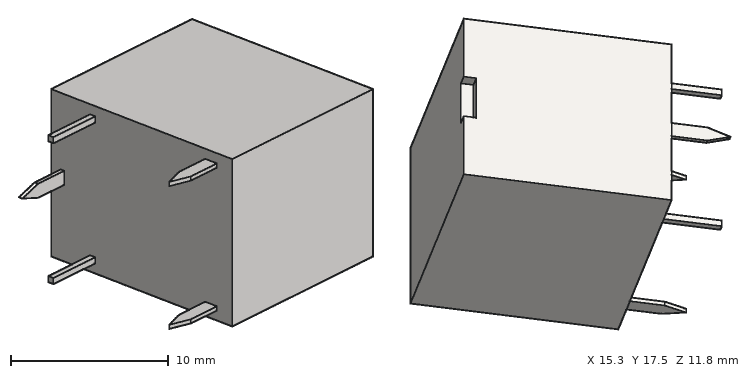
import cadquery as cq

body_width = 15.3
body_height = 11.8
overall_depth = 17.5
pin_length = 4.0
body_depth = overall_depth - pin_length

notch_size = 0.8
notch_height = 3.0

blade_width = 1.0
blade_thickness = 0.3
blade_point_length = 1.5
side_blade_x = -6.68
paired_blade_x = 5.86

pin_size = 0.44

terminal_outer_z = 5.18
paired_blade_z = terminal_outer_z - blade_thickness / 2
pin_x = -4.13
pin_z = terminal_outer_z - pin_size / 2


def make_body():
    """Rectangular housing with its pin face at Y = 0."""
    body = cq.Workplane("XY").box(body_width, body_depth, body_height, centered=(True, False, True))
    cutter = cq.Workplane("XY").box(2 * notch_size, 2 * notch_size, notch_height)
    return body.cut(cutter.translate((-body_width / 2, body_depth, 0)))


def make_blade():
    """Pointed blade lying in the XY plane and reaching toward -Y."""
    half_width = blade_width / 2
    shoulder_y = blade_point_length - pin_length
    outline = [
        (-half_width, 0),
        (half_width, 0),
        (half_width, shoulder_y),
        (0, -pin_length),
        (-half_width, shoulder_y),
    ]
    return cq.Workplane("XY").polyline(outline).close().extrude(blade_thickness / 2, both=True)


def make_pin():
    """Square pin reaching toward -Y."""
    pin = cq.Workplane("XY").box(pin_size, pin_length, pin_size)
    return pin.translate((0, -pin_length / 2, 0))


result = make_body()

upright_blade = make_blade().rotate((0, 0, 0), (0, 1, 0), 90)
result = result.union(upright_blade.translate((side_blade_x, 0, 0)))

for side in (-1, 1):
    result = result.union(make_blade().translate((paired_blade_x, 0, side * paired_blade_z)))
    result = result.union(make_pin().translate((pin_x, 0, side * pin_z)))